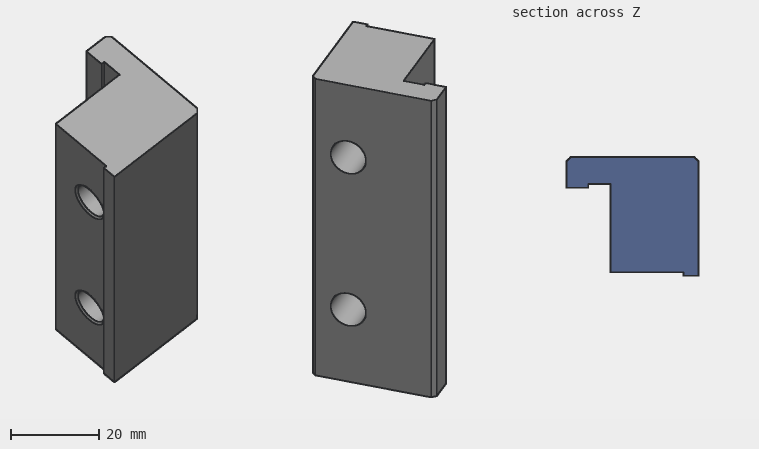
import cadquery as cq

width = 30.0
depth = 27.0
length = 78.0

body_width = 20.05
flange_thickness = 6.2
lip_width = 5.0
lip_height = 0.85
back_chamfer = 1.0

strip_width = 3.5
strip_height = 0.8

hole_diameter = 8.5
hole_chamfer = 0.5
hole_spacing = 40.0
hole_edge_distance = 9.0

right = width / 2
left = -right
back = depth / 2
front = -back
body_left = right - body_width
body_front = front + strip_height
flange_front = back - flange_thickness
hole_x = right - hole_edge_distance


def make_profile_bar():
    """L-shaped section with a flange lip and a front strip, extruded along Z."""
    outline = [
        (left, flange_front - lip_height),
        (left + lip_width, flange_front - lip_height),
        (left + lip_width, flange_front),
        (body_left, flange_front),
        (body_left, body_front),
        (right - strip_width, body_front),
        (right - strip_width, front),
        (right, front),
        (right, back - back_chamfer),
        (right - back_chamfer, back),
        (left + back_chamfer, back),
        (left, back - back_chamfer),
    ]
    bar = cq.Workplane("XY").polyline(outline).close().extrude(length)
    return bar.translate((0, 0, -length / 2))


def make_hole_cutter(z):
    """Through hole along Y, countersunk at the body's front face."""
    radius = hole_diameter / 2
    bore_profile = [
        (hole_x, body_front),
        (hole_x + radius + hole_chamfer, body_front),
        (hole_x + radius, body_front + hole_chamfer),
        (hole_x + radius, back),
        (hole_x, back),
    ]
    cutter = cq.Workplane("XY").polyline(bore_profile).close()
    cutter = cutter.revolve(360, (hole_x, 0), (hole_x, 1))
    return cutter.translate((0, 0, z))


result = make_profile_bar()
for hole_z in (-hole_spacing / 2, hole_spacing / 2):
    result = result.cut(make_hole_cutter(hole_z))